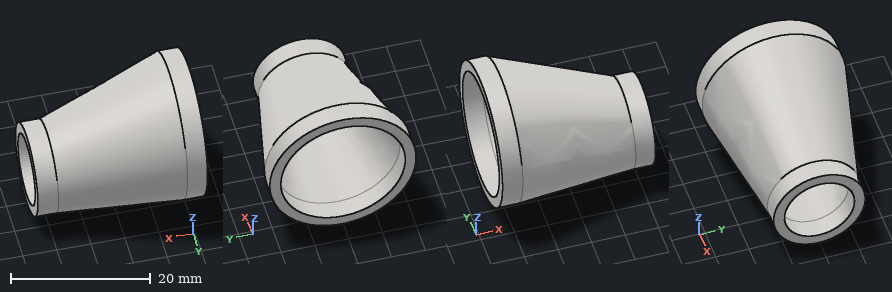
import cadquery as cq

length = 24.0
collar_length = 3.0
large_diameter = 21.7
small_diameter = 13.8
large_bore = 18.4
small_bore = 10.5

cone_length = length - 2 * collar_length
small_end_drop = (large_diameter - small_diameter) / 2


def eccentric_body(large_end_diameter, small_end_diameter):
    """Two straight cylinders joined by a skewed cone."""
    large_collar = cq.Workplane("YZ").circle(large_end_diameter / 2).extrude(collar_length)
    cone = (
        cq.Workplane("YZ", origin=(collar_length, 0, 0))
        .circle(large_end_diameter / 2)
        .workplane(offset=cone_length)
        .center(0, -small_end_drop)
        .circle(small_end_diameter / 2)
        .loft(ruled=True)
    )
    small_collar = (
        cq.Workplane("YZ", origin=(length - collar_length, 0, -small_end_drop))
        .circle(small_end_diameter / 2)
        .extrude(collar_length)
    )
    return large_collar.union(cone).union(small_collar)


outside = eccentric_body(large_diameter, small_diameter)
passage = eccentric_body(large_bore, small_bore)
result = outside.cut(passage)